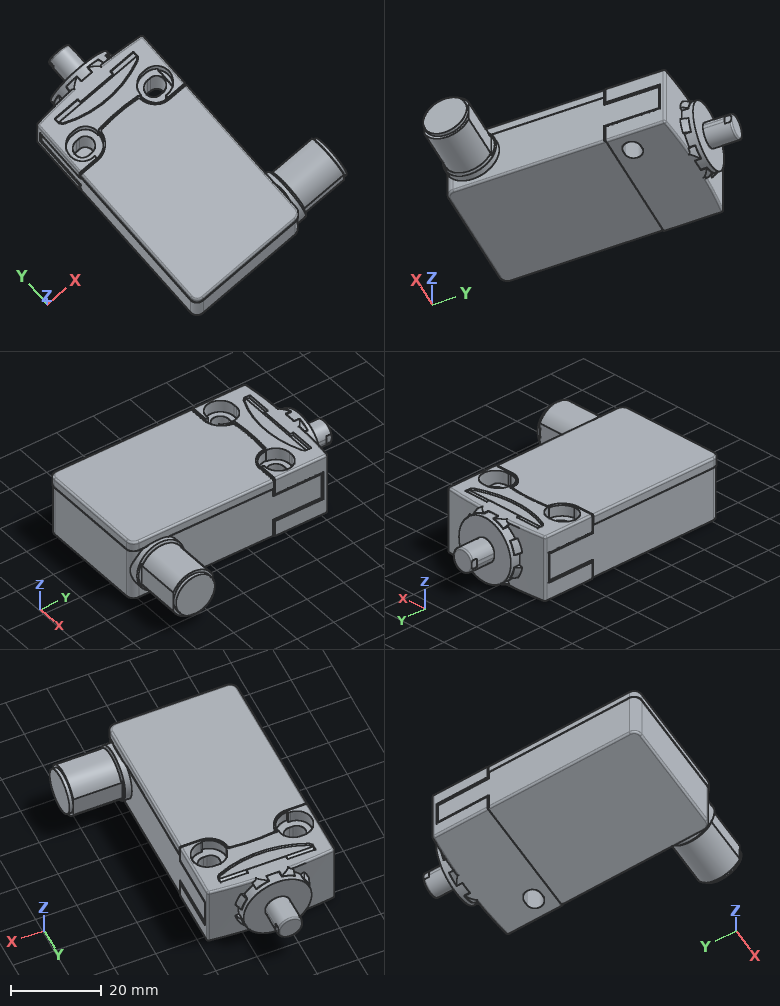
import cadquery as cq
import math


width = 31.0
height = 16.6
overall_length = 63.94
seam_gap = 0.4
seam_depth = 0.3
body_step = 0.2
corner_radius = 2.0
edge_radius = 0.5
lid_split_z = 5.5
tub_inset = 0.1
head_corner_y = 53.65
head_crown_y = 54.6
head_corner_radius = 0.6
half_width = width / 2
half_height = height / 2
body_half_height = half_height - body_step

arch_lift = 0.3
arch_rise = 0.35
arch_fillet = 0.6

hole_x = 10.4
hole_y = 43.47
slot_stretch = 0.9
hole_diameter = 4.25
counterbore_diameter = 7.3
counterbore_depth = 3.2
relief_radius = 4.3
seam_y = hole_y - relief_radius
blind_floor_z = -6.0
sink_x = 13.4
sink_depth = 4.2

tongue_half_height = 3.8
tongue_end_y = 52.45

label_half_width = 11.5
label_edge_y = 51.1
label_side_y = 50.4
label_shoulder_half_width = 10.9
label_shoulder_y = 49.8
label_crown_y = 47.5
label_depth = 0.3
label_wall_slope = 45.0
label_slot_inner_x = 4.8
label_slot_end_y = 52.0
label_slot_depth = 0.9

collar_diameter = 16.5
collar_end_y = 57.1
collar_start_y = 53.0
foot_half_width = 1.6
foot_end_y = 54.5
ramp_count = 8
ramp_width = 3.4
ramp_base_radius = 9.15
ramp_top_radius = 8.4
ramp_base_y = 54.3
ramp_top_y = 56.0
plunger_diameter = 6.1
plunger_edge_radius = 0.4
tip_flat_width = 5.7
tip_flat_length = 1.6
guide_flat_width = 1.0

connector_y = 6.9
connector_root_x = 10.0
flange_radius = 6.5
flange_neck_radius = 6.2
flange_end_x = 17.0
flange_neck_x = 17.25
thread_radius = 6.0
thread_start_x = 17.5
thread_end_x = 29.1
connector_flat_half_width = 5.4
spigot_radius = 5.3
connector_end_x = 30.0
flange_relief_end_x = 16.0

embed = 1.0
clearance = 1.0


def block(x0, x1, y0, y1, z0, z1):
    return cq.Workplane("XY").box(x1 - x0, y1 - y0, z1 - z0, centered=False).translate((x0, y0, z0))


def rear_region(offset):
    """Plan area behind the joint, its edge moved toward the closed end by offset."""
    radius = relief_radius + offset
    seam = hole_y - radius
    arch_y = hole_y + arch_lift - offset
    arch_x = hole_x - radius
    diagonal = radius * math.sqrt(0.5)
    return (
        cq.Workplane("XY")
        .moveTo(-half_width - clearance, -clearance)
        .lineTo(half_width + clearance, -clearance)
        .lineTo(half_width + clearance, seam)
        .lineTo(hole_x, seam)
        .threePointArc((hole_x - diagonal, hole_y - diagonal), (arch_x, arch_y))
        .threePointArc((0, arch_y + arch_rise), (-arch_x, arch_y))
        .threePointArc((diagonal - hole_x, hole_y - diagonal), (-hole_x, seam))
        .lineTo(-half_width - clearance, seam)
        .close()
    )


def rear_cutter(offset, depth):
    """Cutter over the rear region, reaching depth below the head's top face."""
    region = rear_region(offset).extrude(depth + clearance)
    arch_corners = region.edges("|Z").edges(
        cq.selectors.BoxSelector(
            (-hole_x + embed, hole_y - embed, -clearance),
            (hole_x - embed, hole_y + embed, depth + 2 * clearance),
        )
    )
    return arch_corners.fillet(arch_fillet).translate((0, 0, half_height - depth))


def make_rear_part(inset, z0, z1, end_face):
    """Slab of the rear body with rounded corners at the closed end and one rounded end face."""
    slab = block(inset - half_width, half_width - inset, inset, seam_y, z0, z1)
    slab = slab.edges("|Z and <Y").fillet(corner_radius)
    return slab.faces(end_face).edges("not >Y").fillet(edge_radius)


def make_rear():
    lid = make_rear_part(0, lid_split_z, body_half_height, ">Z")
    tub = make_rear_part(tub_inset, -body_half_height, lid_split_z, "<Z")
    return lid.union(tub)


def make_head():
    head = (
        cq.Workplane("XY", origin=(0, 0, -half_height))
        .moveTo(-half_width, seam_y)
        .lineTo(half_width, seam_y)
        .lineTo(half_width, head_corner_y)
        .threePointArc((0, head_crown_y), (-half_width, head_corner_y))
        .close()
        .extrude(height)
    )
    end_corners = cq.selectors.BoxSelector(
        (-half_width - embed, head_corner_y - embed, -height),
        (half_width + embed, head_corner_y + embed, height),
    )
    head = head.edges("|Z").edges(end_corners).fillet(head_corner_radius)
    return head.faces("|Z").edges("not <Y").fillet(edge_radius)


def cut_joint(part):
    """Lower the top face behind the joint and run a groove along the joint."""
    groove = rear_cutter(0, seam_depth + body_step).cut(
        rear_cutter(seam_gap, seam_depth + body_step + clearance)
    )
    return part.cut(rear_cutter(0, body_step)).cut(groove)


def cut_side_joint(part, side):
    """Groove around the U of the head that grips the body tongue on one side face."""
    outer_x = side * (half_width + clearance)
    face_x0, face_x1 = sorted((side * (half_width - tub_inset), outer_x))
    x0, x1 = sorted((side * (half_width - seam_depth), outer_x))
    tongue_top = tongue_half_height
    gap = seam_gap
    tongue_face = block(
        face_x0, face_x1, seam_y - gap, tongue_end_y, -tongue_top, tongue_top
    )
    tongue_groove = block(x0, x1, seam_y - gap, tongue_end_y, -tongue_top, tongue_top).cut(
        block(x0, x1, seam_y - gap, tongue_end_y - gap, gap - tongue_top, tongue_top - gap)
    )
    upper_groove = block(x0, x1, seam_y - gap, seam_y, tongue_top - gap, height)
    lower_groove = block(x0, x1, seam_y - gap, seam_y, -height, gap - tongue_top)
    part = part.cut(tongue_face).cut(tongue_groove)
    return part.cut(upper_groove).cut(lower_groove)


def obround(x, diameter, z0, z1):
    return (
        cq.Workplane("XY", origin=(x, hole_y, z0))
        .slot2D(diameter + slot_stretch, diameter)
        .extrude(z1 - z0)
    )


def cut_mounting_hole(part, side, floor_z):
    """Obround hole whose counterbore opens toward the joint on its inner lower side."""
    x = side * hole_x
    seat_z = half_height - counterbore_depth
    top_z = half_height + clearance
    counterbore = obround(x, counterbore_diameter, seat_z, top_z)
    disc = cq.Workplane("XY", origin=(x, hole_y, seat_z)).circle(relief_radius).extrude(top_z - seat_z)
    inner_x = x - side * relief_radius
    x0, x1 = sorted((x, inner_x))
    relief = disc.intersect(block(x0, x1, seam_y, hole_y, seat_z, top_z))
    slot = obround(x, hole_diameter, floor_z, top_z)
    return part.cut(counterbore).cut(relief).cut(slot)


def cut_seat_sink(part):
    """Deeper step at the outer end of the right-hand counterbore."""
    sink = obround(hole_x, counterbore_diameter, half_height - sink_depth, half_height)
    outer = block(sink_x, half_width, seam_y, hole_y + relief_radius, 0, half_height)
    return part.cut(sink.intersect(outer))


def cut_label_recess(part):
    floor_z = half_height - label_depth
    recess = (
        cq.Workplane("XY", origin=(0, 0, half_height))
        .moveTo(-label_half_width, label_edge_y)
        .lineTo(-label_half_width, label_side_y)
        .lineTo(-label_shoulder_half_width, label_shoulder_y)
        .threePointArc((0, label_crown_y), (label_shoulder_half_width, label_shoulder_y))
        .lineTo(label_half_width, label_side_y)
        .lineTo(label_half_width, label_edge_y)
        .close()
        .extrude(-label_depth, taper=label_wall_slope)
    )
    part = part.cut(recess)
    slot_start_y = label_edge_y - label_depth * math.tan(math.radians(label_wall_slope))
    slot_profile = (
        cq.Workplane("YZ")
        .moveTo(slot_start_y, half_height + clearance)
        .lineTo(slot_start_y, floor_z)
        .lineTo(label_slot_end_y, half_height - label_slot_depth)
        .lineTo(label_slot_end_y, half_height + clearance)
        .close()
        .extrude(label_half_width - label_slot_inner_x)
    )
    part = part.cut(slot_profile.translate((label_slot_inner_x, 0, 0)))
    return part.cut(slot_profile.translate((-label_half_width, 0, 0)))


def along_y(radius, y0, y1):
    return cq.Workplane("XZ", origin=(0, y0, 0)).circle(radius).extrude(y0 - y1)


def make_collar():
    """Round collar with a ring of sloping ramps, trimmed to the head height."""
    collar = along_y(collar_diameter / 2, collar_start_y, collar_end_y)
    cone = (
        cq.Workplane("XY")
        .moveTo(0, ramp_base_y - embed)
        .lineTo(ramp_base_radius, ramp_base_y - embed)
        .lineTo(ramp_base_radius, ramp_base_y)
        .lineTo(ramp_top_radius, ramp_top_y)
        .lineTo(0, ramp_top_y)
        .close()
        .revolve(360, (0, 0, 0), (0, 1, 0))
    )
    spacing = 360 / ramp_count
    for index in range(ramp_count):
        sector = block(0, half_width, collar_start_y, collar_end_y, -ramp_width / 2, ramp_width / 2)
        sector = sector.rotate((0, 0, 0), (0, 1, 0), spacing * (index + 0.5))
        collar = collar.union(cone.intersect(sector))
    foot = block(-foot_half_width, foot_half_width, collar_start_y, foot_end_y, -half_height, half_height)
    return collar.union(foot).intersect(
        block(-half_width, half_width, 0, overall_length, -half_height, half_height)
    )


def make_plunger():
    radius = plunger_diameter / 2
    plunger = along_y(radius, collar_start_y, overall_length)
    plunger = plunger.faces(">Y").edges().fillet(plunger_edge_radius)
    guide_x = math.sqrt(radius**2 - (guide_flat_width / 2)**2)
    guide = block(-guide_x, guide_x, collar_start_y, overall_length, -radius, radius)
    flat_x = tip_flat_width / 2
    tip = block(-flat_x, flat_x, overall_length - tip_flat_length, overall_length, -radius, radius)
    shank = block(-radius, radius, collar_start_y, overall_length - tip_flat_length, -radius, radius)
    return plunger.intersect(guide).intersect(tip.union(shank))


def make_connector():
    """Turned connector along X with two flats on its threaded barrel."""
    turned = (
        cq.Workplane("XY")
        .moveTo(connector_root_x, 0)
        .lineTo(connector_root_x, flange_radius)
        .lineTo(flange_end_x, flange_radius)
        .lineTo(flange_neck_x, flange_neck_radius)
        .lineTo(thread_start_x, thread_radius)
        .lineTo(thread_end_x, thread_radius)
        .lineTo(thread_end_x, spigot_radius)
        .lineTo(connector_end_x, spigot_radius)
        .lineTo(connector_end_x, 0)
        .close()
        .revolve(360, (0, 0, 0), (1, 0, 0))
    )
    for side in (-1, 1):
        y0, y1 = sorted((side * connector_flat_half_width, side * height))
        turned = turned.cut(block(flange_neck_x, connector_end_x, y0, y1, -height, height))
    lid_relief = (
        cq.Workplane("XZ")
        .moveTo(half_width, lid_split_z)
        .lineTo(flange_relief_end_x, flange_radius)
        .lineTo(flange_relief_end_x, half_height)
        .lineTo(half_width, half_height)
        .close()
        .extrude(flange_radius, both=True)
    )
    return turned.cut(lid_relief).translate((0, connector_y, 0))


result = make_rear().union(make_head())
result = cut_joint(result)
for side in (-1, 1):
    result = cut_side_joint(result, side)
result = cut_label_recess(result)
result = result.union(make_collar()).union(make_plunger()).union(make_connector())
result = cut_mounting_hole(result, -1, blind_floor_z)
result = cut_mounting_hole(result, 1, -half_height - clearance)
result = cut_seat_sink(result)